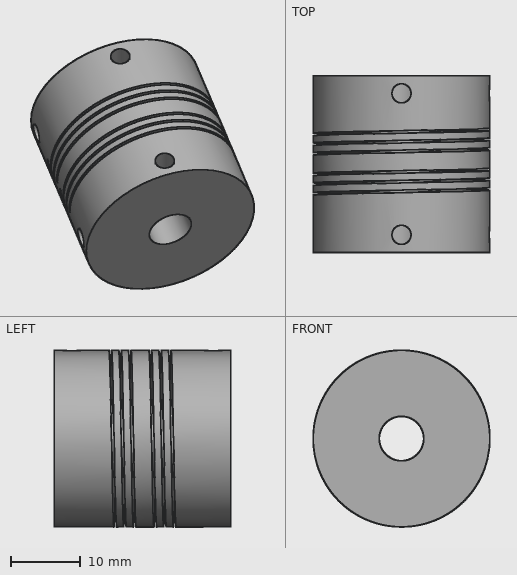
import cadquery as cq

diameter = 25.4
length = 25.4
bore_diameter = 6.35

screw_diameter = 2.75
screw_inset = 2.55

slit_pitch = 1.4
slit_turns = 3
slit_width = 0.38
slit_spacing = 5.75
slit_floor_radius = 5.6

radius = diameter / 2
slit_height = slit_pitch * slit_turns


def make_body():
    """Round body with an axial through bore."""
    end_plane = cq.Workplane("XZ", origin=(0, length / 2, 0))
    return end_plane.circle(radius).circle(bore_diameter / 2).extrude(length)


def make_screw_holes(y):
    """Two holes at right angles, running from +Z and +X into the bore."""
    upright = cq.Workplane("XY").center(0, y).circle(screw_diameter / 2).extrude(radius)
    sideways = cq.Workplane("YZ").center(y, 0).circle(screw_diameter / 2).extrude(radius)
    return upright.union(sideways)


def make_slit(y):
    """Right-handed helical cutter centred on y, starting and ending on the +X side."""
    slit_outer_radius = radius + slit_width
    path = cq.Wire.makeHelix(slit_pitch, slit_height, slit_floor_radius)
    cutter = (
        cq.Workplane("XZ")
        .center((slit_floor_radius + slit_outer_radius) / 2, 0)
        .rect(slit_outer_radius - slit_floor_radius, slit_width)
        .sweep(cq.Workplane(path), isFrenet=True)
    )
    return cutter.translate((0, 0, -slit_height / 2)).rotate((0, 0, 0), (1, 0, 0), -90).translate((0, y, 0))


result = make_body()
for side in (-1, 1):
    result = result.cut(make_screw_holes(side * (length / 2 - screw_inset)))
    result = result.cut(make_slit(side * slit_spacing / 2))